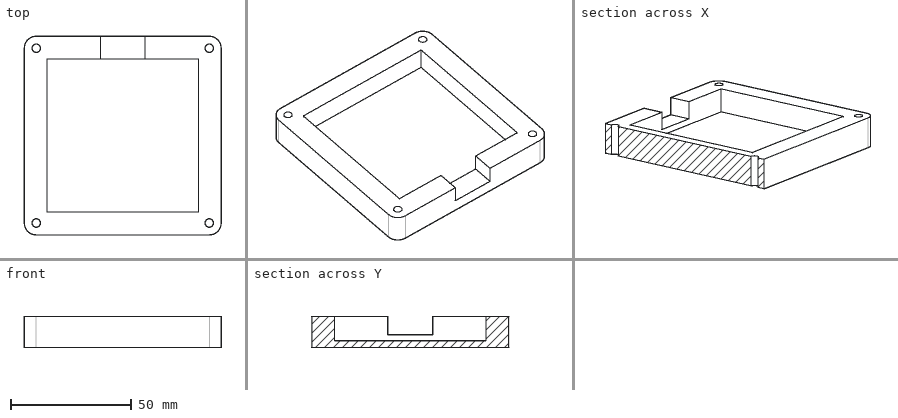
import cadquery as cq

length_x = 81.91
length_y = 82.65
height = 13.0
corner_radius = 5.0

wall = 9.5
floor_thickness = 3.0
pocket_x = length_x - 2 * wall
pocket_y = length_y - 2 * wall
pocket_depth = height - floor_thickness

notch_width = 18.5
notch_depth = 7.5
notch_center_x = 0.0

hole_diameter = 3.4
hole_spacing_x = length_x - 2 * corner_radius
hole_spacing_y = length_y - 2 * corner_radius


def make_block():
    """Plate with rounded vertical corners, standing on Z = 0."""
    block = cq.Workplane("XY").rect(length_x, length_y).extrude(height)
    return block.edges("|Z").fillet(corner_radius)


def make_pocket():
    """Square-cornered cavity cut down from the top face."""
    return cq.Workplane("XY", origin=(0, 0, height)).rect(pocket_x, pocket_y).extrude(-pocket_depth)


def make_notch():
    """Opening that runs from the pocket out through the +Y wall."""
    notch_center_y = (length_y - wall) / 2
    notch_top = cq.Workplane("XY", origin=(notch_center_x, notch_center_y, height))
    return notch_top.rect(notch_width, wall).extrude(-notch_depth)


def make_corner_holes():
    """Cylinders for the four corner through holes."""
    corners = cq.Workplane("XY").rect(hole_spacing_x, hole_spacing_y, forConstruction=True).vertices()
    return corners.circle(hole_diameter / 2).extrude(height)


result = make_block().cut(make_pocket()).cut(make_notch()).cut(make_corner_holes())